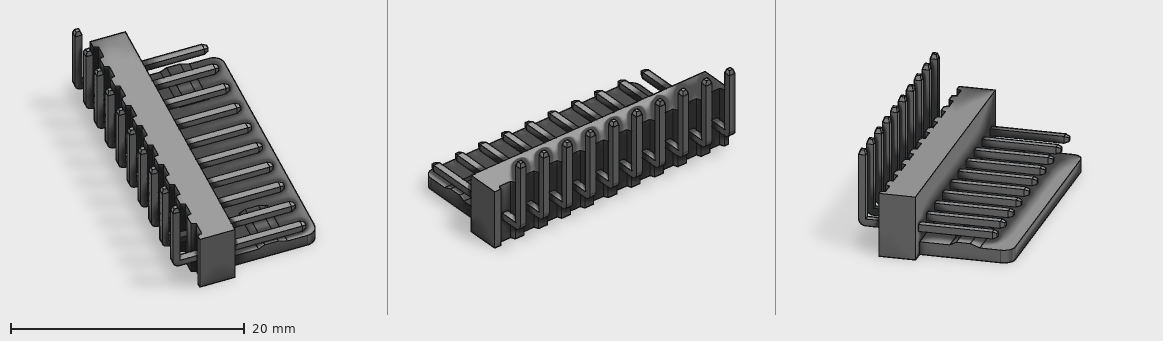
import cadquery as cq


body_length = 25.58
body_depth = 3.24
body_height = 5.8

pin_count = 10
pin_pitch = 2.54
pin_row_offset = 0.1
pin_size = 0.64
pin_center_z = 2.6
pin_front_reach = 2.08
pin_rear_reach = 6.96
pin_top_z = 9.2
tip_length = 0.4
tip_size = 0.36

groove_mouth = 1.58
groove_floor = 1.24
groove_depth = 0.42

plate_length = 22.9
plate_reach = 8.2
plate_thickness = 1.17
plate_corner_radius = 1.0

ramp_length = 4.58
ramp_height = 0.31
ramp_entry_start = 2.86
ramp_entry_end = 3.70
ramp_exit_start = 4.94
ramp_exit_end = 5.52

plate_end_y = body_depth + plate_reach
pin_tip_y = body_depth + pin_rear_reach
upright_center_y = pin_size / 2 - pin_front_reach
pin_bottom_z = pin_center_z - pin_size / 2
first_pin_x = pin_row_offset - pin_pitch * (pin_count - 1) / 2
pin_positions = [first_pin_x + pin_pitch * i for i in range(pin_count)]


def make_body():
    """Rectangular block with a tapered vertical groove behind every pin."""
    outline = cq.Workplane("XY").moveTo(-body_length / 2, body_depth).lineTo(-body_length / 2, 0)
    for x in pin_positions:
        outline = (
            outline.lineTo(x - groove_mouth / 2, 0)
            .lineTo(x - groove_floor / 2, groove_depth)
            .lineTo(x + groove_floor / 2, groove_depth)
            .lineTo(x + groove_mouth / 2, 0)
        )
    outline = outline.lineTo(body_length / 2, 0).lineTo(body_length / 2, body_depth)
    return outline.close().extrude(body_height)


def make_plate():
    """Flat plate behind the body with its two free corners rounded."""
    plate = cq.Workplane("XY").box(plate_length, plate_reach, plate_thickness, centered=(True, False, False))
    plate = plate.edges("|Z and >Y").fillet(plate_corner_radius)
    return plate.translate((0, body_depth, 0))


def make_ramp(start_x):
    """Locking ramp with a gentle entry slope and a steeper exit slope."""
    crest_z = plate_thickness + ramp_height
    return (
        cq.Workplane("YZ", origin=(start_x, 0, 0))
        .moveTo(plate_end_y - ramp_entry_start, plate_thickness)
        .lineTo(plate_end_y - ramp_entry_end, crest_z)
        .lineTo(plate_end_y - ramp_exit_start, crest_z)
        .lineTo(plate_end_y - ramp_exit_end, plate_thickness)
        .lineTo(plate_end_y - ramp_exit_end, 0)
        .lineTo(plate_end_y - ramp_entry_start, 0)
        .close()
        .extrude(ramp_length)
    )


def make_tip(base_plane):
    """Square taper rising from the given plane at the end of a pin leg."""
    return (
        cq.Workplane(base_plane)
        .rect(pin_size, pin_size)
        .workplane(offset=tip_length)
        .rect(tip_size, tip_size)
        .loft(combine=True)
    )


def make_pin():
    """Square L-shaped pin centred on X = 0, rounded outside the bend and tapered at both ends."""
    rear_leg_end = pin_tip_y - tip_length
    upright_leg_end = pin_top_z - tip_length
    rear_leg = (
        cq.Workplane("XY")
        .box(pin_size, rear_leg_end + pin_front_reach, pin_size, centered=(True, False, False))
        .translate((0, -pin_front_reach, pin_bottom_z))
    )
    upright_leg = (
        cq.Workplane("XY")
        .box(pin_size, pin_size, upright_leg_end - pin_bottom_z, centered=(True, False, False))
        .translate((0, -pin_front_reach, pin_bottom_z))
    )
    bend_waste = (
        cq.Workplane("YZ", origin=(-pin_size / 2, 0, 0))
        .moveTo(-pin_front_reach, pin_bottom_z)
        .lineTo(-pin_front_reach, pin_bottom_z + pin_size)
        .radiusArc((pin_size - pin_front_reach, pin_bottom_z), -pin_size)
        .close()
        .extrude(pin_size)
    )
    rear_tip = make_tip(cq.Plane(origin=(0, rear_leg_end, pin_center_z), xDir=(1, 0, 0), normal=(0, 1, 0)))
    upright_tip = make_tip(cq.Plane(origin=(0, upright_center_y, upright_leg_end)))
    return rear_leg.union(upright_leg).cut(bend_waste).union(rear_tip).union(upright_tip)


result = make_body().union(make_plate())
for ramp_start_x in (-plate_length / 2, plate_length / 2 - ramp_length):
    result = result.union(make_ramp(ramp_start_x))

pin = make_pin()
for pin_x in pin_positions:
    result = result.union(pin.translate((pin_x, 0, 0)))